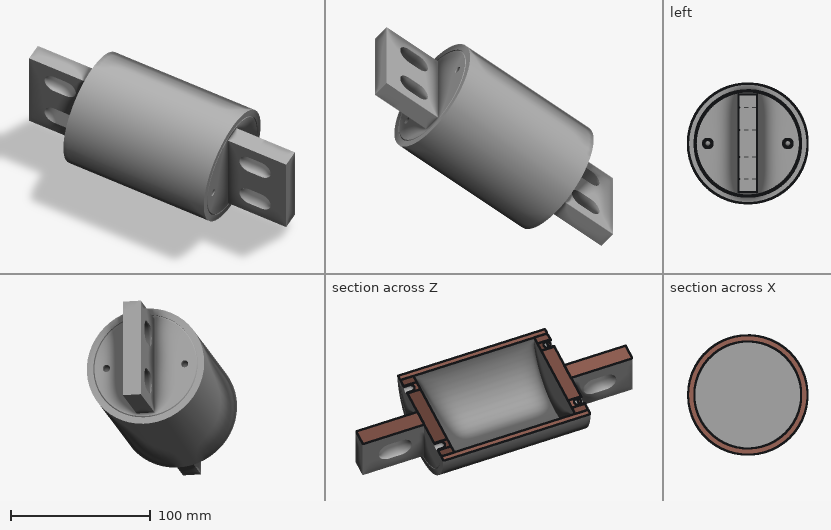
import cadquery as cq

overall_length = 208.8
tube_length = 114.0
tube_diameter = 85.8
bore_diameter = 76.2

cap_thickness = 10.5
cap_chamfer = 0.8

blade_thickness = 13.2
blade_height = 69.7
blade_length = (overall_length - tube_length) / 2

slot_length = 25.5
slot_width = 15.9
slot_spacing = 35.3
slot_end_distance = 25.3

pin_diameter = 6.7
pin_spacing = 57.2
pin_bore_diameter = 5.2
pin_bore_straight_depth = 4.2

both_sides = (-1, 1)
cap_face_x = tube_length / 2


def x_cylinder(diameter, start_x, length, y=0.0):
    """Round bar along +X from start_x, with its axis at height zero."""
    return cq.Workplane("YZ", origin=(start_x, y, 0)).circle(diameter / 2).extrude(length)


def place_at_end(body, side):
    """Leave a body made for the +X end there, or mirror it to the -X end."""
    return body if side > 0 else body.mirror("YZ")


def make_tube():
    outside = x_cylinder(tube_diameter, -tube_length / 2, tube_length)
    bore = x_cylinder(bore_diameter, -tube_length / 2, tube_length)
    return outside.cut(bore)


def make_cap():
    """Disc for the +X end, with a chamfered outer rim and two pin holes."""
    inner_x = cap_face_x - cap_thickness
    cap = x_cylinder(bore_diameter, inner_x, cap_thickness).faces(">X").edges().chamfer(cap_chamfer)
    for y_side in both_sides:
        cap = cap.cut(x_cylinder(pin_diameter, inner_x, cap_thickness, y_side * pin_spacing / 2))
    return cap


def make_blade():
    """Rectangular terminal for the +X end, with two lengthwise slots through it."""
    blade = cq.Workplane("XY").box(blade_length, blade_thickness, blade_height)
    blade = blade.translate((cap_face_x + blade_length / 2, 0, 0))
    slot_x = overall_length / 2 - slot_end_distance
    slots = (
        cq.Workplane("XZ", origin=(slot_x, 0, 0))
        .pushPoints([(0, -slot_spacing / 2), (0, slot_spacing / 2)])
        .slot2D(slot_length, slot_width)
        .extrude(blade_thickness, both=True)
    )
    return blade.cut(slots)


def make_pin(y):
    """Pin for the +X end, with a round-bottomed blind bore in its outer face."""
    pin = x_cylinder(pin_diameter, cap_face_x - cap_thickness, cap_thickness, y)
    bottom_x = cap_face_x - pin_bore_straight_depth
    straight_bore = x_cylinder(pin_bore_diameter, bottom_x, pin_bore_straight_depth, y)
    round_bottom = cq.Workplane("XY").sphere(pin_bore_diameter / 2).translate((bottom_x, y, 0))
    return pin.cut(straight_bore).cut(round_bottom)


tube = make_tube()
caps = []
blades = []
pins = []
for side in both_sides:
    caps.append(place_at_end(make_cap(), side))
    blades.append(place_at_end(make_blade(), side))
    for y_side in both_sides:
        pins.append(place_at_end(make_pin(y_side * pin_spacing / 2), side))

result = cq.Compound.makeCompound([body.val() for body in (tube, *caps, *blades, *pins)])